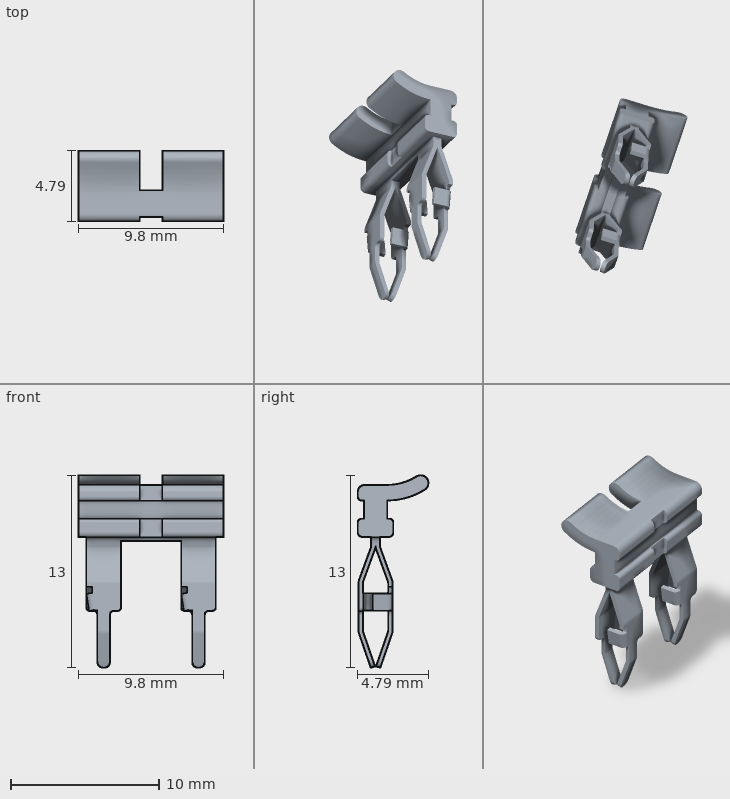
import cadquery as cq
import math


housing_length = 9.8
flange_half_depth = 1.21
web_half_depth = 0.79
lower_flange_top = 1.25
upper_flange_bottom = 2.46
upper_flange_top = 3.52
lower_flange_bottom_radius = 0.32
lip_radius = 0.27
top_front_radius = 0.5

handle_reach = 3.58
handle_top = 4.17
handle_thickness = upper_flange_top - upper_flange_bottom
handle_end_radius = handle_thickness / 2

notch_width = 1.52
notch_floor_depth = 0.91

sheet_thickness = 0.31
leg_spacing = 6.4
leg_width = 2.35
leg_half_depth = 1.16
bridge_height = 0.27

spread_z = -0.68
lower_bend_z = -6.41
tip_z = -8.83
spread_angle = math.radians(20)
tip_angle = math.radians(19)
bend_inner_radius = 0.3
bend_outer_radius = bend_inner_radius + sheet_thickness

shoulder_z = -4.99
shoulder_radius = 0.25
tongue_width = 0.87
tip_radius = 0.43

tab_lean = math.radians(9)
tab_inner_radius = 0.09
tab_outer_radius = tab_inner_radius + sheet_thickness
tab_length = 1.17
tab_root_x = -0.77
tab_root_z = -3.77
tab_end_y = 0.18
relief_top_z = -3.35
relief_radius = 0.09


def fillet_edge_at(body, point, radius):
    """Round the single edge whose middle is nearest to the point."""
    return body.edges(cq.selectors.NearestToPointSelector(point)).fillet(radius)


def make_housing():
    end_y = handle_reach - handle_end_radius
    end_z = handle_top - handle_end_radius
    middle_z = (upper_flange_top + upper_flange_bottom) / 2
    run = end_y - web_half_depth
    rise = end_z - middle_z
    bend_radius = (run**2 + rise**2) / (2 * rise)
    bend_angle = math.asin(run / bend_radius)
    bend_center_z = middle_z + bend_radius

    def handle_point(radius, angle):
        y = web_half_depth + radius * math.sin(angle)
        return (y, bend_center_z - radius * math.cos(angle))

    under_radius = bend_radius + handle_thickness / 2
    upper_radius = bend_radius - handle_thickness / 2
    end_middle = (
        end_y + handle_end_radius * math.cos(bend_angle),
        end_z + handle_end_radius * math.sin(bend_angle),
    )
    housing = (
        cq.Workplane("YZ")
        .moveTo(-flange_half_depth, 0)
        .lineTo(flange_half_depth, 0)
        .lineTo(flange_half_depth, lower_flange_top)
        .lineTo(web_half_depth, lower_flange_top)
        .lineTo(web_half_depth, upper_flange_bottom)
        .threePointArc(handle_point(under_radius, bend_angle / 2), handle_point(under_radius, bend_angle))
        .threePointArc(end_middle, handle_point(upper_radius, bend_angle))
        .threePointArc(handle_point(upper_radius, bend_angle / 2), (web_half_depth, upper_flange_top))
        .lineTo(-flange_half_depth, upper_flange_top)
        .lineTo(-flange_half_depth, upper_flange_bottom)
        .lineTo(-web_half_depth, upper_flange_bottom)
        .lineTo(-web_half_depth, lower_flange_top)
        .lineTo(-flange_half_depth, lower_flange_top)
        .close()
        .extrude(housing_length / 2, both=True)
    )

    for side in (-1, 1):
        edge_y = side * flange_half_depth
        housing = fillet_edge_at(housing, (0, edge_y, 0), lower_flange_bottom_radius)
        housing = fillet_edge_at(housing, (0, edge_y, lower_flange_top), lip_radius)
    housing = fillet_edge_at(housing, (0, -flange_half_depth, upper_flange_bottom), lip_radius)
    housing = fillet_edge_at(housing, (0, -flange_half_depth, upper_flange_top), top_front_radius)

    for side in (-1, 1):
        notch = cq.Workplane("XY").box(notch_width, handle_reach, handle_top, centered=(True, True, False))
        housing = housing.cut(notch.translate((0, side * (notch_floor_depth + handle_reach / 2), 0)))
    return housing


def make_bent_strip():
    """Full-width strip of the -Y sheet of a leg: stem, spread, straight middle and inward tip."""
    upper_bend_z = spread_z - (leg_half_depth - sheet_thickness) / math.tan(spread_angle)
    tip_y = -leg_half_depth + (lower_bend_z - tip_z) * math.tan(tip_angle)
    spread_offset = sheet_thickness * math.tan(spread_angle / 2)
    tip_offset = sheet_thickness * math.tan(tip_angle / 2)
    inner_y = sheet_thickness - leg_half_depth

    spread_outer = (-sheet_thickness, spread_z)
    upper_outer = (-leg_half_depth, upper_bend_z)
    lower_outer = (-leg_half_depth, lower_bend_z)
    tip_outer = (tip_y, tip_z)
    tip_inner = (tip_y + sheet_thickness * math.cos(tip_angle), tip_z + sheet_thickness * math.sin(tip_angle))
    lower_inner = (inner_y, lower_bend_z + tip_offset)
    upper_inner = (inner_y, upper_bend_z - spread_offset)
    spread_inner = (0, spread_z - spread_offset)

    strip = (
        cq.Workplane("YZ")
        .polyline([
            (-sheet_thickness, 0), spread_outer, upper_outer, lower_outer, tip_outer,
            tip_inner, lower_inner, upper_inner, spread_inner, (0, 0),
        ])
        .close()
        .extrude(leg_width / 2, both=True)
    )
    for bend in (spread_outer, upper_inner, lower_inner):
        strip = fillet_edge_at(strip, (0, *bend), bend_inner_radius)
    for bend in (spread_inner, upper_outer, lower_outer):
        strip = fillet_edge_at(strip, (0, *bend), bend_outer_radius)
    tip_middle = ((tip_outer[0] + tip_inner[0]) / 2, (tip_outer[1] + tip_inner[1]) / 2)
    return strip, tip_middle


def make_sheet_outline():
    """Block with the outline of a sheet: relief and tab root at -X, plain shoulder at +X, tongue below."""
    tab_bottom_x = tab_root_x + tab_length * math.sin(tab_lean)
    tab_bottom_z = tab_root_z - tab_length * math.cos(tab_lean)
    half_width = leg_width / 2
    half_tongue = tongue_width / 2
    below_tip_z = tip_z - tongue_width
    outline = (
        cq.Workplane("XZ")
        .polyline([
            (-half_width, 0), (half_width, 0), (half_width, shoulder_z), (half_tongue, shoulder_z),
            (half_tongue, below_tip_z), (-half_tongue, below_tip_z), (-half_tongue, tab_bottom_z),
            (tab_bottom_x, tab_bottom_z), (tab_root_x, tab_root_z), (tab_root_x, relief_top_z),
            (-half_width, relief_top_z),
        ])
        .close()
        .extrude(leg_half_depth, both=True)
    )
    outline = fillet_edge_at(outline, (half_width, 0, shoulder_z), shoulder_radius)
    outline = fillet_edge_at(outline, (half_tongue, 0, shoulder_z), shoulder_radius)
    return fillet_edge_at(outline, (tab_root_x, 0, relief_top_z), relief_radius)


def make_tab():
    """Tab that curls from the outer sheet face through a right angle and reaches across the leg."""
    bend_end_y = tab_outer_radius - leg_half_depth
    inner_y = sheet_thickness - leg_half_depth
    diagonal = math.sqrt(0.5)
    outer_middle = (-tab_outer_radius * diagonal, bend_end_y - tab_outer_radius * diagonal)
    inner_middle = (-tab_inner_radius * diagonal, bend_end_y - tab_inner_radius * diagonal)
    section = cq.Plane(
        origin=(tab_root_x, 0, tab_root_z),
        xDir=(math.cos(tab_lean), 0, math.sin(tab_lean)),
        normal=(-math.sin(tab_lean), 0, math.cos(tab_lean)),
    )
    return (
        cq.Workplane(section)
        .moveTo(0, -leg_half_depth)
        .threePointArc(outer_middle, (-tab_outer_radius, bend_end_y))
        .lineTo(-tab_outer_radius, tab_end_y)
        .lineTo(-tab_inner_radius, tab_end_y)
        .lineTo(-tab_inner_radius, bend_end_y)
        .threePointArc(inner_middle, (0, inner_y))
        .close()
        .extrude(-tab_length)
    )


def make_leg():
    """Two equal sheets back to back, the second turned half a turn about the leg's axis."""
    strip, tip_middle = make_bent_strip()
    sheet = strip.intersect(make_sheet_outline())
    for side in (-1, 1):
        sheet = fillet_edge_at(sheet, (side * tongue_width / 2, *tip_middle), tip_radius)
    sheet = sheet.union(make_tab())
    sheet_middle_y = sheet_thickness / 2 - leg_half_depth
    sheet = fillet_edge_at(sheet, (tab_root_x, sheet_middle_y, tab_root_z), relief_radius)
    return sheet.union(sheet.rotate((0, 0, 0), (0, 0, 1), 180))


def make_clip():
    bridge_length = leg_spacing + leg_width
    clip = cq.Workplane("XY").box(
        bridge_length, 2 * sheet_thickness, bridge_height, centered=(True, True, False)
    ).translate((0, 0, -bridge_height))
    leg = make_leg()
    for side in (-1, 1):
        clip = clip.union(leg.translate((side * leg_spacing / 2, 0, 0)))
    return clip


housing = make_housing()
clip = make_clip()
result = cq.Compound.makeCompound([housing.solids().val(), clip.solids().val()])